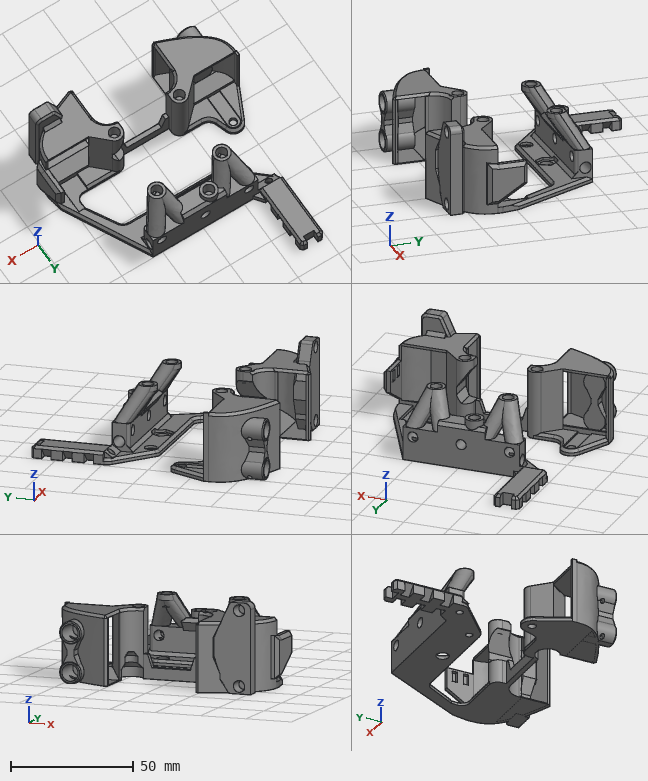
import cadquery as cq
import math

plate_height = 2.6
rim_chamfer = 1.2
body_height = 29.4
cheek_half_width = 46.6
cheek_wall = 1.1
cheek_wall_rear_y = 2.1
cheek_tip = (20.7, -22.37)
mouth_half_width = 19.45
mouth_radius = 7.4
web_outer_x = 25.7
rear_edge_y = 8.05

boss_x = 15.86
boss_radius = 3.85
boss_hole_radius = 2.0
boss_hole_depth = 5.5
hole_taper = 0.45
cheek_boss_y = 4.15
rear_boss_y = 35.87
middle_boss = (-4.24, 44.0)
middle_boss_height = 21.8

rear_wall_half_length = 25.7
rear_wall_back_y = 48.15
rear_wall_front_y = 40.6
rear_wall_end_height = 14.6
rear_wall_middle_height = 19.1
overhang_start_z = 13.5
overhang_front_y = 37.9
frame_front_y = 29.95
wall_screw_z = 10.7

rail_left_x = -37.65
rail_right_x = -26.5
rail_end_y = 79.19
rail_height = 5.25

lug_center = (-35.27, 14.8)
lug_radius = 4.7
lug_hole_radius = 1.75

tube_x = -35.9
tube_radius = 4.75
tube_hole_radius = 3.1
tube_hole_depth = 11.0
tube_end_y = -21.65
tube_heights = (4.5, 21.0)

flange_front_y = -19.1
flange_back_y = -13.0
flange_top_z = 37.95
flange_hole_x = 37.4
flange_hole_heights = (3.2, 34.7)


def prism(points, height):
    return cq.Workplane("XY").polyline(points).close().extrude(height)


def box(x_range, y_range, z_range):
    size = [high - low for low, high in (x_range, y_range, z_range)]
    corner = (x_range[0], y_range[0], z_range[0])
    return cq.Workplane("XY").box(*size, centered=False).translate(corner)


def profile_along_y(points, y_range):
    """Extrude an X-Z outline from the lower to the upper Y."""
    plane = cq.Workplane("XZ", origin=(0, y_range[0], 0))
    return plane.polyline(points).close().extrude(y_range[0] - y_range[1])


def profile_along_x(points, x_range):
    """Extrude a Y-Z outline from the lower to the upper X."""
    plane = cq.Workplane("YZ", origin=(x_range[0], 0, 0))
    return plane.polyline(points).close().extrude(x_range[1] - x_range[0])


def cylinder(start, direction, radius, length):
    return cq.Workplane(cq.Solid.makeCylinder(radius, length, cq.Vector(*start), cq.Vector(*direction)))


def tapered_hole(start, direction, radius, depth):
    """A blind hole, wider at its mouth; `direction` points from the mouth into the material."""
    mouth_radius = radius + hole_taper
    return cq.Workplane(
        cq.Solid.makeCone(mouth_radius, radius, depth, cq.Vector(*start), cq.Vector(*direction))
    )


def round_corners(solid, corners, radius):
    """Fillet the vertical edges that stand on the given X-Y corners."""
    reach = 0.1
    for x, y in corners:
        selector = cq.selectors.BoxSelector((x - reach, y - reach, -100), (x + reach, y + reach, 100))
        solid = solid.edges("|Z").edges(selector).fillet(radius)
    return solid


def mirrored(solid):
    return solid.mirror("YZ")


def make_frame():
    arm_bend = (28.3, frame_front_y)
    arm_toe = (36.9, 14.6)
    arm_heel = (37.3, rear_edge_y)
    plate_left_corner = (-19.4, frame_front_y)
    outline_radius = 4.0
    heel_radius = 3.6
    rail_corner = (rail_left_x, 46.0)
    outline = [
        (rail_left_x, rear_wall_back_y),
        (rear_wall_half_length, rear_wall_back_y),
        (45.3, 9.6),
        (cheek_half_width, cheek_wall_rear_y),
        (cheek_half_width, 0),
        (mouth_half_width, 0),
        (boss_x, rear_edge_y),
        arm_heel,
        arm_toe,
        arm_bend,
        plate_left_corner,
        rail_corner,
    ]
    frame = prism(outline, plate_height)
    frame = round_corners(frame, [arm_bend, plate_left_corner, rail_corner], outline_radius)
    frame = round_corners(frame, [arm_heel], heel_radius)
    arm_edges = cq.selectors.BoxSelector((-100, rear_edge_y + 0.5, 1), (100, rear_wall_back_y - 0.5, 4))
    frame = frame.faces(">Z").edges(arm_edges).chamfer(rim_chamfer)
    pocket_x = (31.4, 40.4)
    pocket_y = (0, 15.2)
    pocket_floor_z = 1.2
    return frame.cut(box(pocket_x, pocket_y, (pocket_floor_z, plate_height)))


def make_rail():
    fork_x = (-34.6, -29.6)
    fork_depth = 3.1
    notch_depth = 4.0
    notch_height = 4.2
    notch_width = 4.0
    notch_centers = (54.3, 63.5, 72.6)
    rail = box((rail_left_x, rail_right_x), (rear_wall_back_y, rail_end_y), (0, rail_height))
    rail = rail.edges("|Z and >Y").chamfer(rim_chamfer)
    rail = rail.faces(">Z").edges("not <Y").chamfer(rim_chamfer)
    rail = rail.cut(box(fork_x, (rail_end_y - fork_depth, rail_end_y), (0, rail_height)))
    for y in notch_centers:
        y_range = (y - notch_width / 2, y + notch_width / 2)
        for side_x, inward in ((rail_left_x, 1), (rail_right_x, -1)):
            triangle = [(side_x, 0), (side_x + inward * notch_depth, 0), (side_x, notch_height)]
            rail = rail.cut(profile_along_y(triangle, y_range))
    gusset_x, gusset_y = -23.2, 52.5
    gusset_outline = [
        (rail_right_x, gusset_y), (gusset_x, rear_wall_back_y), (rail_right_x, rear_wall_back_y),
    ]
    gusset = prism(gusset_outline, plate_height)
    ramp_front_y = 44.3
    ramp_inset = 1.6
    ramp_outline = [
        (ramp_front_y, plate_height), (rear_wall_back_y, plate_height), (rear_wall_back_y, rail_height),
    ]
    ramp = profile_along_x(ramp_outline, (rail_left_x + ramp_inset, -rear_wall_half_length))
    return rail.union(gusset).union(ramp)


def make_leg(foot, boss_center):
    """A slanted round leg running from the wall top up to a boss that ends in a short upright collar."""
    collar_base_z = 27.0
    leg = cylinder((*boss_center, collar_base_z), (0, 0, 1), boss_radius, body_height - collar_base_z)
    shift = (boss_center[0] - foot[0], boss_center[1] - foot[1])
    for top_z in (collar_base_z, body_height):
        slant = (
            cq.Workplane("XY", origin=(*foot, rear_wall_end_height)).circle(boss_radius)
            .workplane(offset=top_z - rear_wall_end_height).center(*shift).circle(boss_radius)
            .loft(combine=True)
        )
        leg = leg.union(slant)
    return leg


def make_rear_wall():
    base_bevel = 1.5
    end_corner_radius = 1.3
    middle_half_length = 10.5
    middle_edge_z = 17.4
    front_bevel = 1.2
    back_bevel = 1.5
    base_section = [
        (rear_wall_front_y - base_bevel, plate_height),
        (rear_wall_front_y, plate_height + base_bevel),
        (rear_wall_front_y, rear_wall_end_height),
        (rear_wall_back_y, rear_wall_end_height),
        (rear_wall_back_y, 0),
        (rear_wall_front_y - base_bevel, 0),
    ]
    wall = profile_along_x(base_section, (-rear_wall_half_length, rear_wall_half_length))
    end_corners = [(side * rear_wall_half_length, rear_wall_front_y) for side in (-1, 1)]
    wall = round_corners(wall, end_corners, end_corner_radius)
    middle_section = [
        (rear_wall_front_y, overhang_start_z),
        (overhang_front_y, middle_edge_z),
        (overhang_front_y + front_bevel, rear_wall_middle_height),
        (rear_wall_back_y - back_bevel, rear_wall_middle_height),
        (rear_wall_back_y, rear_wall_middle_height - back_bevel),
        (rear_wall_back_y, overhang_start_z),
    ]
    wall = wall.union(profile_along_x(middle_section, (-middle_half_length, middle_half_length)))
    inner_foot_x = 9.9
    leg_y = rear_wall_back_y - boss_radius
    for side in (-1, 1):
        top = (side * boss_x, rear_boss_y)
        outer_leg = make_leg((side * (rear_wall_half_length - boss_radius), leg_y), top)
        inner_leg = make_leg((side * inner_foot_x, leg_y), top)
        wall = wall.union(outer_leg).union(inner_leg)
    middle_base = (*middle_boss, rear_wall_end_height)
    middle = cylinder(middle_base, (0, 0, 1), boss_radius, middle_boss_height - rear_wall_end_height)
    return wall.union(middle)


def cut_rear_holes(body):
    end_hole_y, end_hole_z = 45.1, 6.7
    end_hole_depth = 10.0
    wall_screw_radius = 2.2
    wall_screw_x = 21.3
    wall_screw_length = 12.0
    nut_hole = (3.55, 35.9)
    nut_pocket_z = 1.5
    nut_pocket_height = 4.0
    nut_diameter = 9.4
    nut_hole_radius = 2.7
    small_hole_radius = 1.5
    counterbore_radius = 2.6
    corner_hole = (-17.0, 34.3)
    ramp_hole = (-32.0, 46.4)
    down = (0, 0, -1)
    for side in (-1, 1):
        mouth = (side * boss_x, rear_boss_y, body_height)
        body = body.cut(tapered_hole(mouth, down, boss_hole_radius, boss_hole_depth))
        end = (side * rear_wall_half_length, end_hole_y, end_hole_z)
        body = body.cut(tapered_hole(end, (-side, 0, 0), boss_hole_radius, end_hole_depth))
    mouth = (*middle_boss, middle_boss_height)
    body = body.cut(tapered_hole(mouth, down, boss_hole_radius, boss_hole_depth))
    for x in (-wall_screw_x, 0, wall_screw_x):
        start = (x, rear_wall_front_y - 1, wall_screw_z)
        body = body.cut(cylinder(start, (0, 1, 0), wall_screw_radius, wall_screw_length))
    pocket = (cq.Workplane("XY", origin=(*nut_hole, nut_pocket_z))
              .polygon(6, nut_diameter).extrude(nut_pocket_height))
    body = body.cut(pocket)
    body = body.cut(cylinder((*nut_hole, 0), (0, 0, 1), nut_hole_radius, plate_height))
    body = body.cut(cylinder((*corner_hole, 0), (0, 0, 1), small_hole_radius, plate_height))
    body = body.cut(cylinder((*corner_hole, nut_pocket_z), (0, 0, 1), counterbore_radius, plate_height))
    return body.cut(cylinder((*ramp_hole, 0), (0, 0, 1), small_hole_radius, rail_height))


def cheek_outline(inset):
    """Closed X-Y outline of a cheek, its curved outer side moved inwards by `inset`."""
    diagonal_inset = inset * 0.7
    shallow_inset = inset * 0.4
    tip_bevel = 0.7
    tip_x, tip_y = cheek_tip
    curve_points = [
        (40.6 - diagonal_inset, -12.3 + diagonal_inset),
        (30.7 - shallow_inset, -18.3 + inset),
        (tip_x, tip_y + inset),
    ]
    return (
        cq.Workplane("XY").moveTo(mouth_half_width, 0)
        .lineTo(cheek_half_width - inset, 0)
        .spline(curve_points, tangents=[(0, -1), (-1, -0.4)], includeCurrent=True)
        .lineTo(mouth_half_width, tip_y + tip_bevel + inset)
        .close()
    )


def make_cheek_core():
    """The concave mouth wall, the boss column and the 45 degree web behind it."""
    mouth_end_y = -mouth_radius
    mouth_top_x = mouth_half_width - mouth_radius
    bow = mouth_radius * math.sqrt(0.5)
    core = (
        cq.Workplane("XY").moveTo(mouth_half_width, mouth_end_y)
        .threePointArc((mouth_top_x + bow, mouth_end_y + bow), (mouth_top_x, 0))
        .lineTo(boss_x - boss_radius, cheek_boss_y)
        .lineTo(boss_x + boss_radius * math.sqrt(0.5), cheek_boss_y + boss_radius * math.sqrt(0.5))
        .lineTo(web_outer_x, 0)
        .close().extrude(body_height)
    )
    mouth_edge = cq.selectors.BoxSelector((mouth_top_x + 0.1, mouth_end_y, 29), (18, -0.05, 30))
    core = core.edges(mouth_edge).chamfer(rim_chamfer)
    lip_depth = 1.2
    lip_height = body_height - rim_chamfer
    lip = prism([(mouth_half_width, mouth_end_y - lip_depth), (mouth_half_width, mouth_end_y),
                 (web_outer_x, 0)], lip_height)
    core = core.union(lip)
    return core.union(cylinder((boss_x, cheek_boss_y, 0), (0, 0, 1), boss_radius, body_height))


def make_cheek_floor():
    """Floor of the cheek, thin at the front and ramping up to its rear line."""
    front_floor_z, rear_floor_z = 0.4, 4.1
    ramp_start_y = -9.0
    outline = [
        (cheek_tip[1], 0), (cheek_tip[1], front_floor_z), (ramp_start_y, front_floor_z),
        (0, rear_floor_z), (0, 0),
    ]
    return profile_along_x(outline, (mouth_half_width, cheek_half_width))


def make_cheek():
    shell = cheek_outline(0).extrude(body_height)
    front = cq.selectors.BoxSelector((18, -30, body_height - 0.1), (50, -0.05, body_height + 0.1))
    shell = shell.edges(front).chamfer(rim_chamfer)
    cavity = cheek_outline(cheek_wall).extrude(body_height - cheek_wall).cut(make_cheek_floor())
    mouth_cutter = (
        cq.Workplane("XY").circle(mouth_radius).extrude(body_height)
        .translate((mouth_half_width - mouth_radius, -mouth_radius, 0))
    )
    return shell.cut(cavity).cut(mouth_cutter).union(make_cheek_core())


def cut_cheek_boss_hole(body, side):
    mouth = (side * boss_x, cheek_boss_y, body_height)
    return body.cut(tapered_hole(mouth, (0, 0, -1), boss_hole_radius, boss_hole_depth))


def cut_right_window(body):
    """Opening under the right boss, with a sloped roof."""
    inner_x, outer_x = 10.5, 18.6
    sill_z, roof_z = 10.5, 25.3
    outline = [
        (inner_x, sill_z), (16.0, sill_z), (outer_x, 13.5),
        (outer_x, 16.9), (12.5, roof_z), (inner_x, roof_z),
    ]
    return body.cut(profile_along_y(outline, (-mouth_radius, rear_edge_y)))


def cut_left_bore(body):
    """Stepped blind bore from the base that breaks out through the left mouth wall."""
    center = (-16.9, -1.8)
    wide_radius, narrow_radius, end_radius = 5.2, 2.8, 1.2
    wide_top_z, narrow_base_z, narrow_top_z, end_z = 4.2, 6.4, 9.2, 11.2
    profile = [
        (0, 0), (wide_radius, 0), (wide_radius, wide_top_z), (narrow_radius, narrow_base_z),
        (narrow_radius, narrow_top_z), (end_radius, end_z), (0, end_z),
    ]
    bore = cq.Workplane("XZ").polyline(profile).close().revolve(360, (0, 0, 0), (0, 1, 0))
    return body.cut(bore.translate((*center, 0)))


def make_bridge():
    span_half_width, span_top_z = 8.4, 4.8
    shoulder_half_width, shoulder_top_z = 10.3, 10.3
    end_half_width = 13.0
    thickness = 2.25
    half_outline = [
        (span_half_width, span_top_z), (shoulder_half_width, shoulder_top_z),
        (end_half_width, shoulder_top_z), (end_half_width, 0),
    ]
    outline = half_outline + [(-x, z) for x, z in reversed(half_outline)]
    return profile_along_y(outline, (0, thickness))


def make_left_plate():
    lug_x, lug_y = lug_center
    lug_flank_angle = math.radians(27)
    inner_corner_radius = 5.0
    cosine, sine = math.cos(lug_flank_angle), math.sin(lug_flank_angle)
    inner_corner = (-28.0, rear_edge_y)
    outline = [
        (-cheek_half_width, 0),
        (-cheek_half_width, cheek_wall_rear_y),
        (lug_x - lug_radius * cosine, lug_y + lug_radius * sine),
        (lug_x + lug_radius * cosine, lug_y + lug_radius * sine),
        inner_corner,
        (-boss_x, rear_edge_y),
        (-mouth_half_width, 0),
    ]
    plate = prism(outline, plate_height)
    plate = round_corners(plate, [inner_corner], inner_corner_radius)
    plate = plate.union(cylinder((lug_x, lug_y, 0), (0, 0, 1), lug_radius, plate_height))
    rim_low = (-45.8, rear_edge_y - 4, plate_height - 0.1)
    rim_high = (-24, lug_y + 2 * lug_radius, plate_height + 0.1)
    rim = cq.selectors.BoxSelector(rim_low, rim_high)
    plate = plate.edges(rim).chamfer(rim_chamfer)
    channel_half_width = 3.0
    channel_floor_z = 1.9
    channel_depth = plate_height - channel_floor_z
    channel_x = (lug_x - channel_half_width, lug_x + channel_half_width)
    plate = plate.cut(box(channel_x, (0, lug_y), (channel_floor_z, plate_height)))
    plate = plate.cut(cylinder((lug_x, lug_y, channel_floor_z), (0, 0, 1), channel_half_width, channel_depth))
    return plate.cut(cylinder((lug_x, lug_y, 0), (0, 0, 1), lug_hole_radius, plate_height))


def make_tubes():
    rear_y = -9.0
    end_chamfer = 0.5
    web_setback = 0.3
    waist_half_width, root_half_width = 1.55, 3.4
    waist_half_height, root_half_height = 1.1, 5.0
    middle_z = sum(tube_heights) / 2
    quarter = [(waist_half_width, waist_half_height), (root_half_width, root_half_height)]
    web_outline = [(tube_x + x, middle_z + z) for x, z in quarter]
    web_outline += [(tube_x - x, middle_z + z) for x, z in reversed(quarter)]
    web_outline += [(tube_x - x, middle_z - z) for x, z in quarter]
    web_outline += [(tube_x + x, middle_z - z) for x, z in reversed(quarter)]
    tubes = profile_along_y(web_outline, (tube_end_y + web_setback, rear_y))
    for z in tube_heights:
        tube = cylinder((tube_x, rear_y, z), (0, -1, 0), tube_radius, rear_y - tube_end_y)
        tubes = tubes.union(tube.faces("<Y").chamfer(end_chamfer))
    below_base = box((tube_x - 10, tube_x + 10), (-30, 0), (-10, 0))
    return tubes.cut(below_base)


def cut_tube_holes(body):
    set_screw_radius, set_screw_length = 0.9, 6.0
    set_screw_y, set_screw_drop = -15.5, 3.3
    for z in tube_heights:
        body = body.cut(tapered_hole((tube_x, tube_end_y, z), (0, 1, 0), tube_hole_radius, tube_hole_depth))
        start = (tube_x - set_screw_length, set_screw_y, z - set_screw_drop)
        body = body.cut(cylinder(start, (1, 0, 0), set_screw_radius, set_screw_length))
    return body


def make_flange_block(y_range):
    top_left_x, right_x = 33.4, 42.45
    outer_corner_radius, inner_corner_radius = 2.6, 1.8
    outline = [
        (33.0, 0), (29.0, 5.7), (29.0, 7.9), (26.4, 14.8), (26.4, 23.0), (29.9, 30.5),
        (top_left_x, flange_top_z), (right_x, flange_top_z), (right_x, 0),
    ]
    block = profile_along_y(outline, y_range)
    block = block.edges("|Y and >X and >Z").fillet(outer_corner_radius)
    middle_y = sum(y_range) / 2
    inner_corner = cq.selectors.NearestToPointSelector((top_left_x, middle_y, flange_top_z))
    return block.edges(inner_corner).fillet(inner_corner_radius)


def make_flange():
    flange_back_chamfer = 1.0
    flange = make_flange_block((flange_front_y, flange_back_y))
    flange = flange.edges("|X and >Z and >Y").chamfer(flange_back_chamfer)
    foot_size = 1.6
    foot_x = (31.2, 39.5)
    foot_section = [
        (flange_back_y, body_height - 1), (flange_back_y, body_height + foot_size),
        (flange_back_y + foot_size, body_height), (flange_back_y + foot_size, body_height - 1),
    ]
    return flange.union(profile_along_x(foot_section, foot_x))


def cut_flange_face(body):
    """Clear the cheek away in front of the flat flange face."""
    return body.cut(make_flange_block((cheek_tip[1] - 1, flange_front_y)))


def cut_flange_holes(body):
    flange_hole_depth = 5.0
    for z in flange_hole_heights:
        mouth = (flange_hole_x, flange_front_y, z)
        body = body.cut(tapered_hole(mouth, (0, 1, 0), boss_hole_radius, flange_hole_depth))
    return body


def make_side_plate():
    inner_x, outer_x = 45.5, 48.9
    face_chamfer = 1.6
    outline = [(12.3, 12.2), (12.3, 21.8), (0, 21.8), (-4.8, 22.6), (-4.8, 4.6), (0, 4.6)]
    plate = profile_along_x(outline, (inner_x, outer_x))
    plate = plate.faces(">X").chamfer(face_chamfer)
    slot_half_width, slot_depth = 1.15, 1.6
    slot_heights = (16.0, 20.8)
    for y in (3.4, 8.6):
        slot_y = (y - slot_half_width, y + slot_half_width)
        plate = plate.cut(box((inner_x, inner_x + slot_depth), slot_y, slot_heights))
    return plate


cheek = make_cheek()
result = make_frame().union(make_rail()).union(make_rear_wall())
left_rear_lip = box(
    (-cheek_half_width, cheek_wall - cheek_half_width), (0, cheek_wall_rear_y), (0, body_height)
)
result = result.union(cheek).union(mirrored(cheek)).union(left_rear_lip).union(make_bridge())
result = result.union(make_left_plate()).union(make_tubes()).union(make_flange()).union(make_side_plate())
result = cut_rear_holes(result)
for boss_side in (-1, 1):
    result = cut_cheek_boss_hole(result, boss_side)
result = cut_right_window(result)
result = cut_left_bore(result)
result = cut_tube_holes(result)
result = cut_flange_face(result)
result = cq.Workplane(cut_flange_holes(result).solids().val())